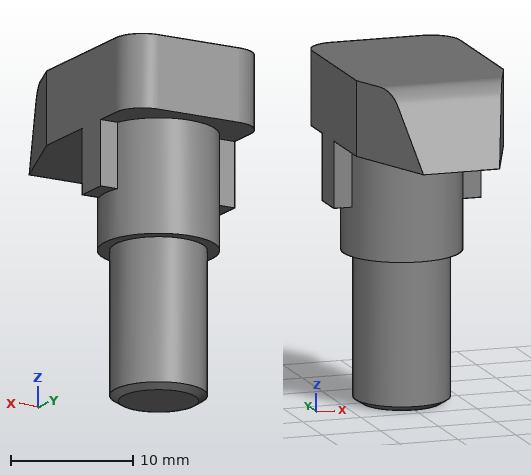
import cadquery as cq
import math

total_height = 28.97

head_width = 12.7
head_length = 21.85
head_height = 6.35
head_back = 6.5
back_corner_radius = 2.5
taper_start = -7.27
nose_width = 6.55
nose_angle = 31.0
nose_radius = 2.5

collar_diameter = 10.0
collar_length = 9.82
pin_diameter = 8.0
tip_chamfer_height = 0.45
tip_chamfer_depth = 0.72

key_width = 3.0
key_height = 5.65

head_bottom = total_height - head_height
collar_bottom = head_bottom - collar_length
nose_tip = head_back - head_length


def make_head():
    """Tapered block with rounded back corners and a sloped, rounded nose."""
    half_width = head_width / 2
    half_nose = nose_width / 2
    block = (
        cq.Workplane("XY", origin=(0, 0, head_bottom))
        .polyline([
            (-half_width, head_back),
            (half_width, head_back),
            (half_width, taper_start),
            (half_nose, nose_tip),
            (-half_nose, nose_tip),
            (-half_width, taper_start),
        ])
        .close()
        .extrude(head_height)
        .edges("|Z and >Y")
        .fillet(back_corner_radius)
    )
    slope_run = head_height * math.tan(math.radians(nose_angle))
    wedge = (
        cq.Workplane("YZ")
        .polyline([
            (nose_tip, head_bottom),
            (nose_tip + slope_run, total_height),
            (nose_tip, total_height),
        ])
        .close()
        .extrude(head_width / 2, both=True)
    )
    return block.cut(wedge).faces(">Z").edges("<Y").fillet(nose_radius)


def make_pin():
    """Collar and pin with a chamfered lower end."""
    collar = (
        cq.Workplane("XY", origin=(0, 0, collar_bottom))
        .circle(collar_diameter / 2)
        .extrude(collar_length)
    )
    pin = (
        cq.Workplane("XY")
        .circle(pin_diameter / 2)
        .extrude(collar_bottom)
        .faces("<Z")
        .chamfer(tip_chamfer_height, tip_chamfer_depth)
    )
    return collar.union(pin)


def make_keys():
    """Bar across the collar, showing as a key on each side under the head."""
    return (
        cq.Workplane("XY", origin=(0, 0, head_bottom))
        .rect(head_width, key_width)
        .extrude(-key_height)
    )


result = make_head().union(make_pin()).union(make_keys())